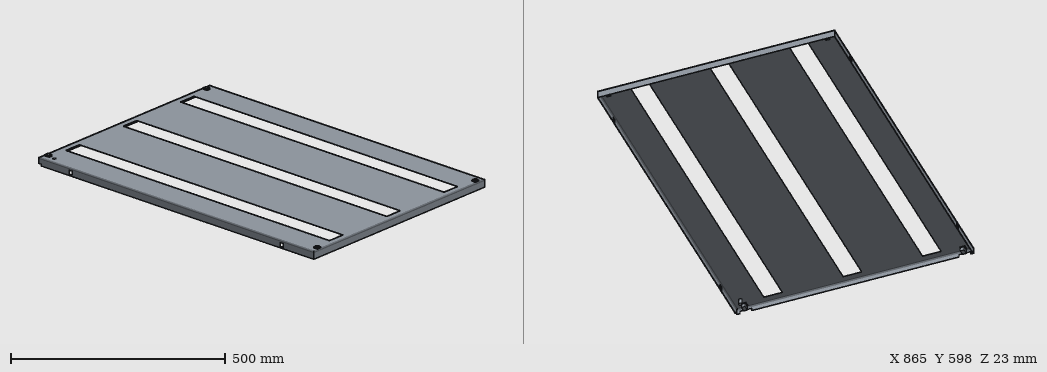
import cadquery as cq
import math

length = 865.0
width = 598.0
height = 23.0

sheet = 1.5
bend_radius = 2.2
head_height = 3.5
panel_top = height - head_height
web_bottom = panel_top - sheet
corner_inset = 1.0
left_flange_bottom = 4.0
corner_notch = 9.5

window_count = 3
window_pitch = 200.0
window_length = 827.0
window_width = 47.0

hole_size = 9.5
hole_height = 9.0
hole_from_end = 101.0

cutout_start = 9.0
cutout_end = 38.0
cutout_top = 11.0

fastener_from_end = 10.0
fastener_from_side = 23.0
fastener_x = length / 2 - fastener_from_end
fastener_y = width / 2 - fastener_from_side
fastener_bottom = 7.0
head_size = 13.0
shank_size = 9.5

head_chamfer = 2.0
clip_foot_length = 15.0

screw_head_diameter = 10.0
screw_shank_diameter = 5.0
screw_slot_width = 2.0
screw_slot_depth = 1.0
sleeve_rim = 2.0

stud_diameter = 9.0
stud_bottom = 5.0
stud_from_end = 31.0
stud_from_side = 22.0


def centred_box(size_x, size_y, bottom, top):
    """Block centred on the Z axis between two heights."""
    return cq.Workplane("XY").box(size_x, size_y, top - bottom, centered=(True, True, False)).translate(
        (0, 0, bottom)
    )


def folded_edge(run, reach, bottom):
    """Bend and flange along the +X edge: outer face at X = reach, running along Y."""
    bend_start = reach - bend_radius
    inner_radius = bend_radius - sheet
    bend_axis = panel_top - bend_radius
    diagonal = math.sqrt(0.5)
    return (
        cq.Workplane("XZ")
        .moveTo(bend_start, panel_top)
        .threePointArc(
            (bend_start + bend_radius * diagonal, bend_axis + bend_radius * diagonal), (reach, bend_axis)
        )
        .lineTo(reach, bottom)
        .lineTo(reach - sheet, bottom)
        .lineTo(reach - sheet, bend_axis)
        .threePointArc(
            (bend_start + inner_radius * diagonal, bend_axis + inner_radius * diagonal),
            (bend_start, web_bottom),
        )
        .close()
        .extrude(run / 2, both=True)
    )


def make_panel():
    """Windowed sheet with a flange folded down on each side."""
    web_length = length - 2 * bend_radius
    web_width = width - 2 * bend_radius
    panel = centred_box(web_length, web_width, web_bottom, panel_top)

    long_run = length - 2 * corner_inset
    short_run = width - 2 * corner_inset
    long_flange = folded_edge(long_run, width / 2, 0)
    for angle in (90, -90):
        panel = panel.union(long_flange.rotate((0, 0, 0), (0, 0, 1), angle))
    panel = panel.union(folded_edge(short_run, length / 2, 0))
    left_flange = folded_edge(short_run, length / 2, left_flange_bottom)
    panel = panel.union(left_flange.rotate((0, 0, 0), (0, 0, 1), 180))

    notch = centred_box(2 * corner_notch, 2 * width, 0, left_flange_bottom)
    panel = panel.cut(notch.translate((-length / 2, 0, 0)))

    for row in range(window_count):
        offset = (row - (window_count - 1) / 2) * window_pitch
        window = centred_box(window_length, window_width, web_bottom, panel_top)
        panel = panel.cut(window.translate((0, offset, 0)))

    for side in (-1, 1):
        hole = centred_box(hole_size, 2 * width, hole_height - hole_size / 2, hole_height + hole_size / 2)
        panel = panel.cut(hole.translate((side * (length / 2 - hole_from_end), 0, 0)))

    for side in (-1, 1):
        cutout = centred_box(2 * bend_radius, cutout_end - cutout_start, 0, cutout_top)
        centre = width / 2 - (cutout_start + cutout_end) / 2
        panel = panel.cut(cutout.translate((-length / 2, side * centre, 0)))

    for x in (-fastener_x, fastener_x):
        for y in (-fastener_y, fastener_y):
            opening = centred_box(shank_size, shank_size, web_bottom, panel_top)
            panel = panel.cut(opening.translate((x, y, 0)))
    return panel


def make_clip():
    """Square clip: chamfered head on the panel face, neck through it and a longer foot below."""
    head = centred_box(head_size, head_size, panel_top, height).faces(">Z").chamfer(head_chamfer)
    neck = centred_box(shank_size, shank_size, web_bottom, panel_top)
    foot = centred_box(clip_foot_length, shank_size, fastener_bottom, web_bottom)
    return head.union(neck).union(foot)


def make_sleeve():
    """Square sleeve with a flange on the panel face and a bore for the screw."""
    sleeve = centred_box(head_size, head_size, panel_top, panel_top + sleeve_rim)
    sleeve = sleeve.union(centred_box(shank_size, shank_size, fastener_bottom, panel_top))
    return sleeve.faces(">Z").workplane().hole(screw_shank_diameter)


def make_screw():
    """Slotted screw seated on the sleeve."""
    head_bottom = panel_top + sleeve_rim
    screw = cq.Workplane("XY").workplane(offset=head_bottom).circle(screw_head_diameter / 2)
    screw = screw.extrude(height - head_bottom)
    shank = cq.Workplane("XY").workplane(offset=fastener_bottom).circle(screw_shank_diameter / 2)
    screw = screw.union(shank.extrude(head_bottom - fastener_bottom))
    slot = centred_box(screw_head_diameter, screw_slot_width, height - screw_slot_depth, height)
    return screw.cut(slot.rotate((0, 0, 0), (0, 0, 1), 45))


def make_stud():
    """Round stud hanging from the underside of the panel face."""
    stud = cq.Workplane("XY").workplane(offset=stud_bottom).circle(stud_diameter / 2)
    return stud.extrude(web_bottom - stud_bottom).translate(
        (stud_from_end - length / 2, stud_from_side - width / 2, 0)
    )


bodies = [make_panel().val(), make_stud().val()]
for y in (-fastener_y, fastener_y):
    bodies.append(make_clip().translate((-fastener_x, y, 0)).val())
    bodies.append(make_sleeve().translate((fastener_x, y, 0)).val())
    bodies.append(make_screw().translate((fastener_x, y, 0)).val())

result = cq.Compound.makeCompound(bodies)